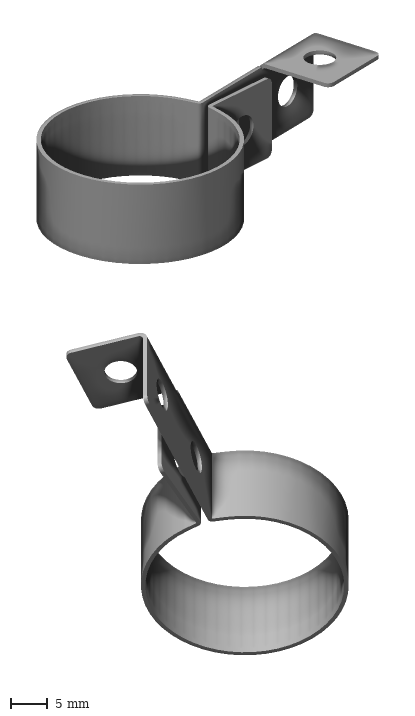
import cadquery as cq
import math


thickness = 0.6
strip_width = 12.0
corner_radius = 1.0
hole_diameter = 4.5

ring_radius = 14.15
inner_radius = ring_radius - thickness
flat_angle = 12.5
half_gap = 0.55

splay_angle = 2.8
long_arm_length = 25.75
short_arm_length = 12.25
hole_from_end = strip_width / 2
arm_hole_height = strip_width / 2

tab_size = strip_width
tab_top = strip_width + thickness
fold_inner_radius = 0.7
fold_outer_radius = fold_inner_radius + thickness
fold_start = tab_top - fold_outer_radius

sin_flat = math.sin(math.radians(flat_angle))
cos_flat = math.cos(math.radians(flat_angle))
root_x = half_gap + thickness
root_y = (ring_radius - root_x * sin_flat) / cos_flat


def point_on_arc(radius, degrees, center=(0, 0)):
    """Point on a circle, with the angle measured from +Y towards +X."""
    angle = math.radians(degrees)
    return (center[0] + radius * math.sin(angle), center[1] + radius * math.cos(angle))


def mirrored(point):
    """Matching point on the other side of the YZ plane."""
    return (-point[0], point[1])


def split_ring():
    """Ring with a straight run-out and a rounded bend at each arm root."""
    root = (root_x, root_y)
    bend_start = -90 + splay_angle
    bend_end = -180 + flat_angle
    gap_face = point_on_arc(thickness, bend_start, root)
    bend_middle = point_on_arc(thickness, (bend_start + bend_end) / 2, root)
    bore_face = point_on_arc(thickness, bend_end, root)
    outer_flat = point_on_arc(ring_radius, flat_angle)
    inner_flat = point_on_arc(inner_radius, flat_angle)
    return (
        cq.Workplane("XY")
        .moveTo(*outer_flat)
        .lineTo(*root)
        .lineTo(*gap_face)
        .threePointArc(bend_middle, bore_face)
        .lineTo(*inner_flat)
        .threePointArc((0, -inner_radius), mirrored(inner_flat))
        .lineTo(*mirrored(bore_face))
        .threePointArc(mirrored(bend_middle), mirrored(gap_face))
        .lineTo(*mirrored(root))
        .lineTo(*mirrored(outer_flat))
        .threePointArc((0, -ring_radius), outer_flat)
        .close()
        .extrude(strip_width)
    )


def upright_arm(length, hole_positions):
    """Arm along +Y from the origin, outer face on X = 0, with holes at the given Y."""
    plate = cq.Workplane("XY").box(thickness, length, strip_width, centered=False)
    holes = (
        cq.Workplane("YZ")
        .pushPoints([(y, arm_hole_height) for y in hole_positions])
        .circle(hole_diameter / 2)
        .extrude(thickness)
    )
    return plate.cut(holes)


def folded_tab(arm_end):
    """Fold and square tab on the last stretch of the long arm, ending at Y = arm_end."""
    fold_diagonal = math.sqrt(0.5)
    outer_mid = fold_outer_radius * fold_diagonal
    inner_mid = fold_inner_radius * fold_diagonal
    tab = (
        cq.Workplane("XZ", origin=(0, arm_end, 0))
        .moveTo(0, fold_start)
        .threePointArc(
            (fold_outer_radius - outer_mid, fold_start + outer_mid),
            (fold_outer_radius, tab_top),
        )
        .lineTo(tab_size, tab_top)
        .lineTo(tab_size, tab_top - thickness)
        .lineTo(fold_outer_radius, tab_top - thickness)
        .threePointArc(
            (fold_outer_radius - inner_mid, fold_start + inner_mid),
            (thickness, fold_start),
        )
        .close()
        .extrude(tab_size)
        .edges("|Z and >X")
        .fillet(corner_radius)
    )
    hole = (
        cq.Workplane("XY", origin=(tab_size / 2, arm_end - hole_from_end, fold_start))
        .circle(hole_diameter / 2)
        .extrude(fold_outer_radius)
    )
    return tab.cut(hole)


def long_arm():
    """Arm with two holes whose top end is folded over into the tab."""
    inner_hole = short_arm_length - hole_from_end
    outer_hole = long_arm_length - hole_from_end
    arm = upright_arm(long_arm_length, [inner_hole, outer_hole])
    arm = arm.edges("|X and >Y and <Z").fillet(corner_radius)
    above_fold = (
        cq.Workplane("XY", origin=(0, long_arm_length - tab_size, fold_start))
        .box(thickness, tab_size, strip_width - fold_start, centered=False)
    )
    return arm.cut(above_fold).union(folded_tab(long_arm_length))


def short_arm():
    """Plain arm with one hole and both free corners rounded."""
    arm = upright_arm(short_arm_length, [short_arm_length - hole_from_end])
    return arm.edges("|X and >Y").fillet(corner_radius)


def at_root(arm):
    """Lean an arm outwards and set it on the -X root of the ring."""
    return arm.rotate((0, 0, 0), (0, 0, 1), splay_angle).translate((-root_x, root_y, 0))


result = split_ring().union(at_root(long_arm())).union(at_root(short_arm()).mirror("YZ"))